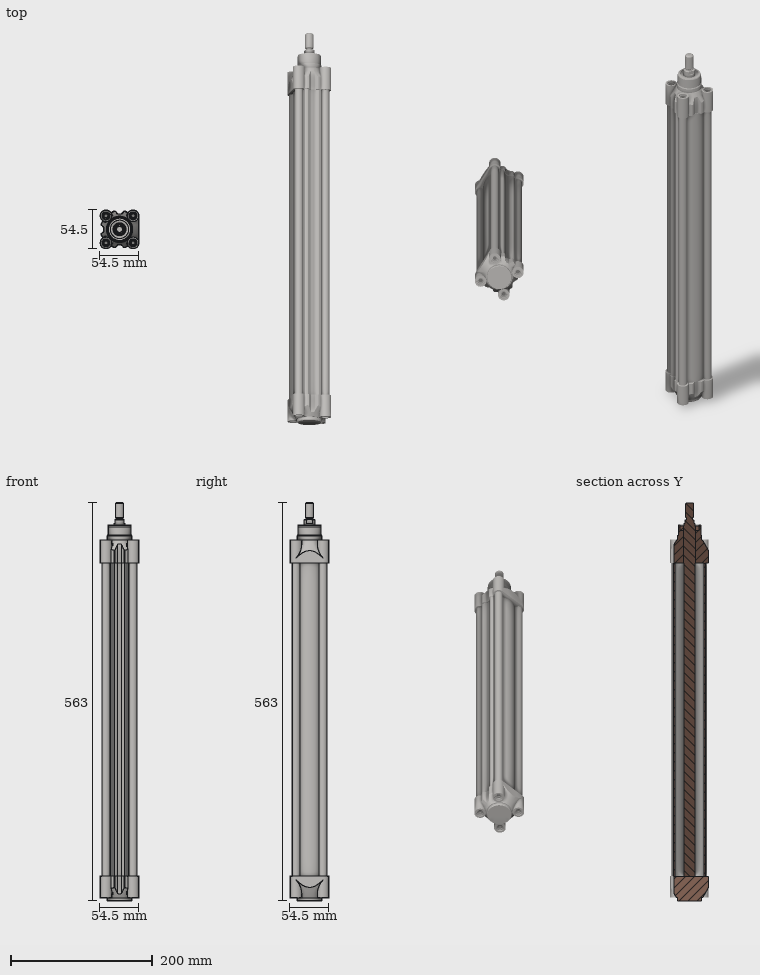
import cadquery as cq

total_length = 563.0
width = 54.5
corner_pitch = 38.5

rear_face = 4.5
rear_seam = 35.5
front_seam = 477.5
front_face = 510.0
collar_top = 517.0
neck_top = 531.5

post_diameter = width - corner_pitch
boss_diameter = 35.0
neck_diameter = 32.5
rim_chamfer_height = 1.0
rim_chamfer_width = 0.5
cone_radius = 18.5
cone_growth = 0.58
screw_bore_steps = [(11.0, 2.0), (8.5, 4.5), (5.4, 8.0)]
port_face_thickness = 8.5

cap_side = [(2.55, 22.0), (6.0, 26.0), (8.0, 26.0), (12.0, 23.5)]

tube_diameter = 45.5
bore_diameter = 40.0
rail_diameter = 11.0
groove_floor = (2.55, 21.0)
pad_foot = (12.0, 23.0)
ridge_profile = [(7.5, 25.0), (9.0, 25.0), pad_foot]

rod_diameter = 16.0
thread_diameter = 12.0
thread_chamfer = 1.5
shoulder_level = 539.0
shoulder_chamfer = 0.5
undercut_diameter = 9.5
undercut_width = 1.5
flats_width = 13.0
flats_length = 5.0
wiper_diameter = 26.0
wiper_length = 7.0
wiper_recess = 1.0
wiper_lip_chamfer = 1.0
retainer_length = 3.0
retainer_bottom = neck_top - retainer_length
wiper_top = neck_top - wiper_recess
wiper_bottom = wiper_top - wiper_length


def cylinder(diameter, bottom, top):
    """Upright cylinder on the main axis."""
    return cq.Workplane("XY").workplane(offset=bottom).circle(diameter / 2).extrude(top - bottom)


def corner_columns(diameter, bottom, top):
    """Four upright cylinders on the corner pitch."""
    plane = cq.Workplane("XY").workplane(offset=bottom)
    centres = plane.rect(corner_pitch, corner_pitch, forConstruction=True).vertices()
    return centres.circle(diameter / 2).extrude(top - bottom)


def upright_prism(outline, bottom, top):
    """Upright prism over a closed polygon."""
    return cq.Workplane("XY").workplane(offset=bottom).polyline(outline).close().extrude(top - bottom)


def grooved_side(half_side, height, angle):
    """Wedge with a V groove and two ridges, facing -Y before it is turned by angle."""
    right = [(x, -y) for x, y in reversed(half_side)]
    left = [(-x, y) for x, y in reversed(right)]
    wedge = upright_prism([(0, 0)] + right + left, 0, height)
    return wedge.rotate((0, 0, 0), (0, 0, 1), angle)


def chamfered_cylinder(diameter, height):
    """Cylinder standing at zero, with a steep chamfer round its top edge."""
    body = cylinder(diameter, 0, height - rim_chamfer_height)
    rim = (
        cq.Workplane("XY")
        .workplane(offset=height - rim_chamfer_height)
        .circle(diameter / 2)
        .workplane(offset=rim_chamfer_height)
        .circle(diameter / 2 - rim_chamfer_width)
        .loft(ruled=True)
    )
    return body.union(rim)


def end_cap(height):
    """End cap without its boss, from its seam at zero to its outer face at height."""
    core = cq.Workplane("XY").rect(corner_pitch, corner_pitch).extrude(height)
    for angle in (0, 180, 270):
        core = core.union(grooved_side(cap_side, height, angle))
    port_block = cq.Workplane("XY").box(
        port_face_thickness, corner_pitch, height, centered=(False, True, False)
    )
    core = core.union(port_block.translate((width / 2 - port_face_thickness, 0, 0)))
    shoulder = (
        cq.Workplane("XY")
        .circle(cone_radius + cone_growth * height)
        .workplane(offset=height)
        .circle(cone_radius)
        .loft(ruled=True)
    )
    cap = core.intersect(shoulder).union(corner_columns(post_diameter, 0, height))
    for diameter, depth in screw_bore_steps:
        cap = cap.cut(corner_columns(diameter, height - depth, height))
    return cap


def make_rear_cap():
    height = rear_seam - rear_face
    cap = end_cap(height).mirror("XY").translate((0, 0, rear_seam))
    boss = chamfered_cylinder(boss_diameter, rear_face).mirror("XY").translate((0, 0, rear_face))
    return cap.union(boss)


def make_front_cap():
    cap = end_cap(front_face - front_seam).translate((0, 0, front_seam))
    collar = chamfered_cylinder(boss_diameter, collar_top - front_face)
    cap = cap.union(collar.translate((0, 0, front_face)))
    cap = cap.union(cylinder(neck_diameter, front_face, retainer_bottom))
    cap = cap.cut(cylinder(wiper_diameter, wiper_bottom, wiper_top))
    return cap.cut(cylinder(rod_diameter, front_seam, neck_top))


def make_retainer():
    ring = chamfered_cylinder(neck_diameter, retainer_length).translate((0, 0, retainer_bottom))
    return ring.cut(cylinder(wiper_diameter, retainer_bottom, neck_top))


def sensor_pad(side):
    """Ridged pad outside the bore on the +Y or -Y flank, before its groove is cut."""
    half_pad = ridge_profile + [(pad_foot[0], 0)]
    outline = [(x, side * y) for x, y in half_pad]
    outline += [(-x, y) for x, y in reversed(outline)]
    return upright_prism(outline, rear_seam, front_seam)


def sensor_groove(side):
    """V-walled groove with a flat floor, open to the +Y or -Y flank."""
    half_floor, depth = groove_floor
    half_mouth, ridge = ridge_profile[0]
    right = [(half_floor, side * depth), (half_mouth, side * ridge)]
    outline = right + [(-x, y) for x, y in reversed(right)]
    return upright_prism(outline, rear_seam, front_seam)


def make_tube():
    tube = cylinder(tube_diameter, rear_seam, front_seam)
    tube = tube.union(corner_columns(rail_diameter, rear_seam, front_seam))
    for side in (-1, 1):
        tube = tube.union(sensor_pad(side)).cut(sensor_groove(side))
    return tube.cut(cylinder(bore_diameter, rear_seam, front_seam))


def make_rod():
    rod = cylinder(rod_diameter, rear_seam, shoulder_level).faces(">Z").chamfer(shoulder_chamfer)
    for side in (-1, 1):
        flat = cq.Workplane("XY").box(rod_diameter, rod_diameter, flats_length, centered=(True, True, False))
        offset = side * (flats_width + rod_diameter) / 2
        rod = rod.cut(flat.translate((offset, 0, shoulder_level - flats_length)))
    rod = rod.union(cylinder(undercut_diameter, shoulder_level, shoulder_level + undercut_width))
    thread = cylinder(thread_diameter, shoulder_level + undercut_width, total_length)
    return rod.union(thread.faces("|Z").chamfer(thread_chamfer))


def make_wiper():
    ring = cylinder(wiper_diameter, wiper_bottom, wiper_top)
    ring = ring.cut(cylinder(rod_diameter, wiper_bottom, wiper_top))
    lip = ring.faces(">Z").edges(cq.selectors.RadiusNthSelector(0))
    return lip.chamfer(wiper_lip_chamfer)


result = cq.Compound.makeCompound([
    make_rear_cap().val(),
    make_tube().val(),
    make_front_cap().val(),
    make_retainer().val(),
    make_wiper().val(),
    make_rod().val(),
])